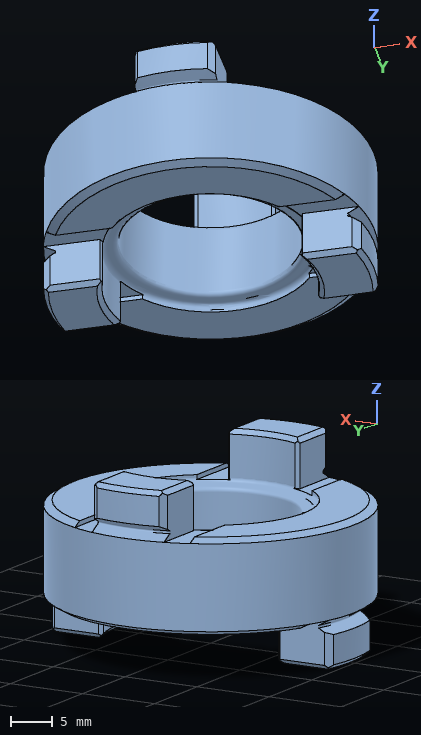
import cadquery as cq
import math


outer_radius = 20.0
bore_radius = 11.0
ring_height = 12.0
rim_chamfer = 0.6
rim_slope = math.radians(30)

seat_radius = 13.0
seat_depth = 1.0
seat_fillet = 0.7

overall_height = 23.2
slot_width = 16.0
slot_depth = 0.6
dog_width = 10.0
dog_chamfer = 0.6
outer_odd_leg = 0.85
inner_odd_leg = 0.45

undercut_width = 1.9
undercut_root_fillet = 0.2

cutter_overrun = 0.8

ring_top = ring_height / 2
dog_top = overall_height / 2
slot_floor = ring_top - slot_depth
undercut_middle = slot_floor + undercut_width / 2


def make_ring():
    """Plain ring with both outer rims bevelled."""
    rim_inset = rim_chamfer / math.tan(rim_slope)
    shoulder = ring_top - rim_chamfer
    half_section = [
        (bore_radius, -ring_top),
        (outer_radius - rim_inset, -ring_top),
        (outer_radius, -shoulder),
        (outer_radius, shoulder),
        (outer_radius - rim_inset, ring_top),
        (bore_radius, ring_top),
    ]
    return cq.Workplane("XZ").polyline(half_section).close().revolve(360, (0, 0), (0, 1))


def make_slot():
    """Cutter for the slot across the upper end, running along Y."""
    return (
        cq.Workplane("XY")
        .workplane(offset=slot_floor)
        .rect(slot_width, 3 * outer_radius)
        .extrude(overall_height)
    )


def make_undercut():
    """Cutter for the V groove with a rounded root."""
    half_width = undercut_width / 2
    sharp_root = outer_radius - half_width / math.tan(rim_slope)
    fillet_center = sharp_root + undercut_root_fillet / math.sin(rim_slope)
    tangent_radius = fillet_center - undercut_root_fillet * math.sin(rim_slope)
    tangent_rise = undercut_root_fillet * math.cos(rim_slope)
    return (
        cq.Workplane("XZ")
        .moveTo(outer_radius, undercut_middle - half_width)
        .lineTo(tangent_radius, undercut_middle - tangent_rise)
        .threePointArc(
            (fillet_center - undercut_root_fillet, undercut_middle),
            (tangent_radius, undercut_middle + tangent_rise),
        )
        .lineTo(outer_radius, undercut_middle + half_width)
        .close()
        .revolve(360, (0, 0), (0, 1))
    )


def make_seat():
    """Cutter for the upper bore seat: rounded lip, flat floor, rounded corner to the wall."""
    floor = ring_top - seat_depth
    bend = seat_fillet * math.sqrt(0.5)
    lip_bottom = floor - seat_fillet
    lip_center = bore_radius + seat_fillet
    corner_center = seat_radius - seat_fillet
    corner_top = floor + seat_fillet
    return (
        cq.Workplane("XZ")
        .moveTo(0, lip_bottom)
        .lineTo(bore_radius, lip_bottom)
        .threePointArc((lip_center - bend, lip_bottom + bend), (lip_center, floor))
        .lineTo(corner_center, floor)
        .threePointArc((corner_center + bend, corner_top - bend), (seat_radius, corner_top))
        .lineTo(seat_radius, dog_top)
        .lineTo(0, dog_top)
        .close()
        .revolve(360, (0, 0), (0, 1))
    )


def corner_cutter(radius, along_side, along_arc, bottom):
    """Prism that bevels the +X corner where a dog side meets a round face of the given radius."""
    half_width = dog_width / 2
    corner_y = math.sqrt(radius**2 - half_width**2)
    toward_middle = -1 if radius == outer_radius else 1
    arc_angle = math.asin(half_width / radius) - along_arc / radius
    side_point = (half_width, corner_y + toward_middle * along_side)
    arc_point = (radius * math.sin(arc_angle), radius * math.cos(arc_angle))
    slope = (side_point[1] - arc_point[1]) / (side_point[0] - arc_point[0])
    outline = [
        (side_point[0] + cutter_overrun, side_point[1] + slope * cutter_overrun),
        (arc_point[0] - cutter_overrun, arc_point[1] - slope * cutter_overrun),
        (side_point[0] + cutter_overrun, arc_point[1] - slope * cutter_overrun),
    ]
    return cq.Workplane("XY").workplane(offset=bottom).polyline(outline).close().extrude(overall_height)


def make_dog():
    """One upper dog on the +Y side, bevelled on its top and its upright corners."""
    dog_height = dog_top - slot_floor
    blank = cq.Workplane("XY").workplane(offset=slot_floor).circle(outer_radius).extrude(dog_height)
    span = cq.Workplane("XY").box(dog_width, outer_radius, overall_height, centered=(True, False, False))
    dog = blank.intersect(span).cut(make_seat())
    dog = dog.faces(">Z").chamfer(dog_chamfer).cut(make_undercut())

    for radius, odd_leg, bottom in (
        (outer_radius, outer_odd_leg, undercut_middle),
        (seat_radius, inner_odd_leg, slot_floor),
    ):
        left_corner = corner_cutter(radius, odd_leg, dog_chamfer, bottom).mirror("YZ")
        right_corner = corner_cutter(radius, dog_chamfer, odd_leg, bottom)
        dog = dog.cut(left_corner).cut(right_corner)
    return dog


def to_lower_end(shape):
    """Turn an upper-end shape over and swing it a quarter turn about Z."""
    return shape.rotate((0, 0, 0), (1, 0, 0), 180).rotate((0, 0, 0), (0, 0, 1), 90)


dog = make_dog()
dog_pair = [dog, dog.mirror("XZ")]
slot = make_slot()
seat = make_seat()

result = make_ring().cut(slot).cut(to_lower_end(slot))
for upper_dog in dog_pair:
    result = result.union(upper_dog).union(to_lower_end(upper_dog))
result = result.cut(seat).cut(to_lower_end(seat))